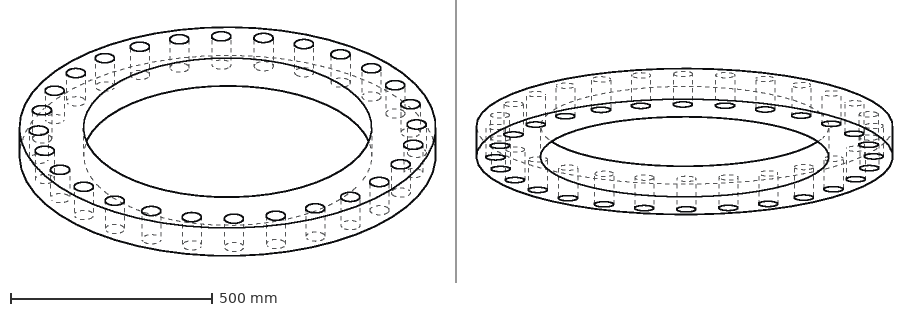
import cadquery as cq

outer_diameter = 1035.0
bore_diameter = 716.4
thickness = 79.5

bolt_hole_count = 28
bolt_hole_diameter = 47.6
bolt_circle_diameter = 939.8


def ring():
    return (
        cq.Workplane("XY")
        .circle(outer_diameter / 2)
        .circle(bore_diameter / 2)
        .extrude(thickness)
    )


def bolt_holes():
    return (
        cq.Workplane("XY")
        .polarArray(bolt_circle_diameter / 2, 0, 360, bolt_hole_count)
        .circle(bolt_hole_diameter / 2)
        .extrude(thickness)
    )


result = ring().cut(bolt_holes())